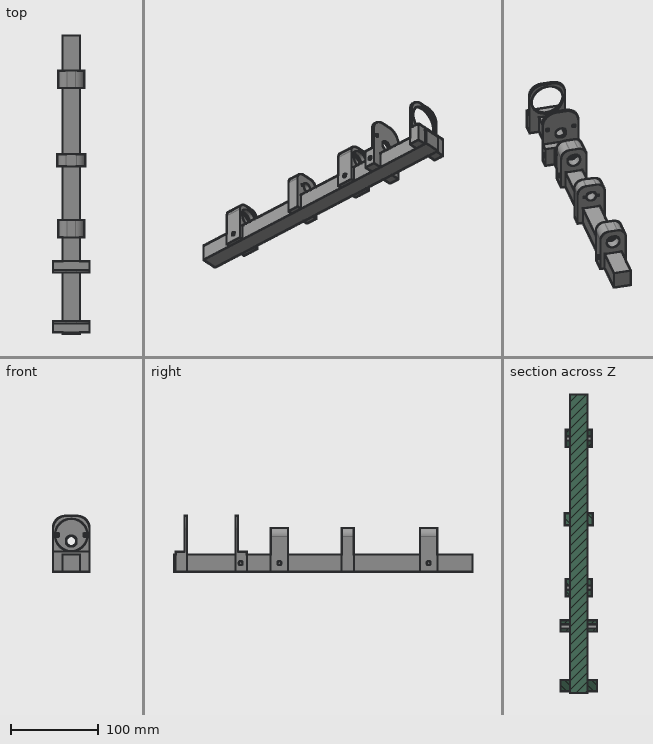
import cadquery as cq

RAIL_SIDE = 20.0
RAIL_LENGTH = 340.0

SHAFT_AXIS_Z = 35.0

BEARING_MOUNT_WIDTH = 30.0
BEARING_MOUNT_LENGTH = 20.0
BEARING_MOUNT_FRONTS = (110.0, 280.0)
BEARING_BORE_DIAMETER = 22.3
BEARING_BORE_DEPTH = 7.0
BEARING_PASSAGE_DIAMETER = 15.0

NUT_MOUNT_WIDTH = 32.0
NUT_MOUNT_LENGTH = 14.0
NUT_MOUNT_FRONT = 191.0
NUT_BORE_DIAMETER = 11.5
NUT_SCREW_DIAMETER = 2.1
NUT_SCREW_SPACING = 16.0

MOUNT_HEIGHT = 50.0
MOUNT_CORNER_RADIUS = 10.0

BRACKET_WIDTH = 42.0
BRACKET_HEIGHT = 64.0
BRACKET_CORNER_RADIUS = 15.0
PLATE_THICKNESS = 3.0
BLOCK_LENGTH = 10.0
BLOCK_HEIGHT = 23.0
MOTOR_SHAFT_OFFSET = 7.0
MOTOR_AXIS_Z = SHAFT_AXIS_Z + MOTOR_SHAFT_OFFSET

MOTOR_PLATE_FRONT = 70.0
MOTOR_BOSS_DIAMETER = 12.5
MOTOR_SCREW_DIAMETER = 3.5
MOTOR_SCREW_SPACING = 31.0

RAIL_OVERHANG = 2.0
MOTOR_BODY_DIAMETER = 37.0

CLAMP_SCREW_DIAMETER = 4.5
PLATE_CLAMP_HOLE_SETBACK = 6.0


def block(width, front, length, height):
    """Box centred on X, standing on Z = 0, running back from the front face."""
    box = cq.Workplane("XY").box(width, length, height, centered=(True, False, False))
    return box.translate((0, front, 0))


def rounded_upright(width, front, length, height, corner_radius):
    """Block whose two top edges along Y are rounded."""
    return block(width, front, length, height).edges("|Y and >Z").fillet(corner_radius)


def bore(diameter, front, depth, axis_z, x=0.0):
    """Cylinder along +Y to be cut from a body."""
    start = cq.Vector(x, front, axis_z)
    return cq.Workplane(cq.Solid.makeCylinder(diameter / 2, depth, start, cq.Vector(0, 1, 0)))


def cut_screw_pair(body, diameter, spacing, front, depth, axis_z):
    """Two screw holes along Y, one on each side of X = 0."""
    for side in (-1, 1):
        body = body.cut(bore(diameter, front, depth, axis_z, side * spacing / 2))
    return body


def cut_rail_channel(body):
    """Channel that the rail fills."""
    return body.cut(make_rail())


def cut_clamp_holes(body, width, y):
    """Clamp screw hole along X through both saddle walls, at the rail's mid height."""
    start = cq.Vector(-width / 2, y, RAIL_SIDE / 2)
    hole = cq.Solid.makeCylinder(CLAMP_SCREW_DIAMETER / 2, width, start, cq.Vector(1, 0, 0))
    return body.cut(cq.Workplane(hole))


def make_rail():
    """Plain solid bar with its front end at Y = 0."""
    return block(RAIL_SIDE, 0, RAIL_LENGTH, RAIL_SIDE)


def make_bearing_mount(front):
    """Upright with a bearing seat in its front face and a smaller passage behind it."""
    length = BEARING_MOUNT_LENGTH
    mount = rounded_upright(BEARING_MOUNT_WIDTH, front, length, MOUNT_HEIGHT, MOUNT_CORNER_RADIUS)
    mount = cut_rail_channel(mount)
    mount = mount.cut(bore(BEARING_PASSAGE_DIAMETER, front, length, SHAFT_AXIS_Z))
    mount = mount.cut(bore(BEARING_BORE_DIAMETER, front, BEARING_BORE_DEPTH, SHAFT_AXIS_Z))
    return cut_clamp_holes(mount, BEARING_MOUNT_WIDTH, front + length / 2)


def make_nut_mount():
    """Upright with a bore for the nut between two screw holes."""
    front = NUT_MOUNT_FRONT
    length = NUT_MOUNT_LENGTH
    mount = rounded_upright(NUT_MOUNT_WIDTH, front, length, MOUNT_HEIGHT, MOUNT_CORNER_RADIUS)
    mount = cut_rail_channel(mount)
    mount = mount.cut(bore(NUT_BORE_DIAMETER, front, length, SHAFT_AXIS_Z))
    return cut_screw_pair(mount, NUT_SCREW_DIAMETER, NUT_SCREW_SPACING, front, length, SHAFT_AXIS_Z)


def make_bracket(plate_front, block_front):
    """Plate and block in one piece, with the rail channel through both."""
    plate = rounded_upright(
        BRACKET_WIDTH, plate_front, PLATE_THICKNESS, BRACKET_HEIGHT, BRACKET_CORNER_RADIUS
    )
    bracket = plate.union(block(BRACKET_WIDTH, block_front, BLOCK_LENGTH, BLOCK_HEIGHT))
    return cut_rail_channel(bracket)


def make_motor_plate():
    """Bracket with the gear motor's boss and screw holes; the block is behind the plate."""
    front = MOTOR_PLATE_FRONT
    plate = make_bracket(front, front + PLATE_THICKNESS)
    plate = plate.cut(bore(MOTOR_BOSS_DIAMETER, front, PLATE_THICKNESS, SHAFT_AXIS_Z))
    plate = cut_screw_pair(
        plate, MOTOR_SCREW_DIAMETER, MOTOR_SCREW_SPACING, front, PLATE_THICKNESS, MOTOR_AXIS_Z
    )
    return cut_clamp_holes(plate, BRACKET_WIDTH, front + PLATE_CLAMP_HOLE_SETBACK)


def make_support_ring():
    """Mirror arrangement of the motor plate: the block is in front of the plate."""
    plate_front = RAIL_OVERHANG + BLOCK_LENGTH
    ring = make_bracket(plate_front, RAIL_OVERHANG)
    return ring.cut(bore(MOTOR_BODY_DIAMETER, plate_front, PLATE_THICKNESS, MOTOR_AXIS_Z))


rail = make_rail()
bearing_mounts = [make_bearing_mount(front) for front in BEARING_MOUNT_FRONTS]
nut_mount = make_nut_mount()
motor_plate = make_motor_plate()
support_ring = make_support_ring()

result = cq.Compound.makeCompound(
    [
        rail.val(),
        *[mount.val() for mount in bearing_mounts],
        nut_mount.val(),
        motor_plate.val(),
        support_ring.val(),
    ]
)